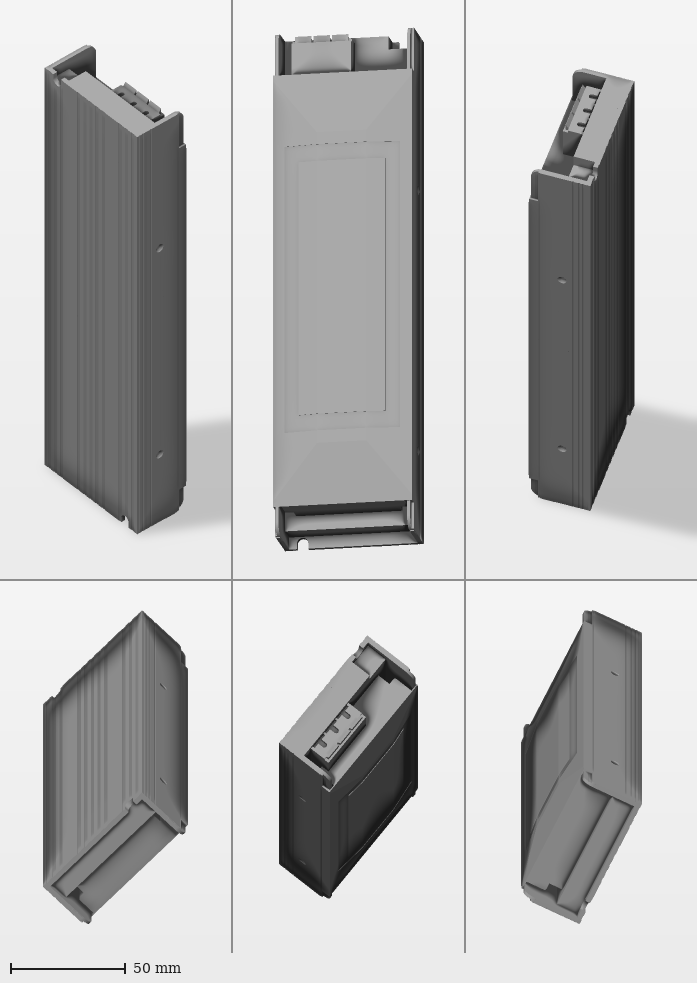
import cadquery as cq
WIDTH = 61.5
DEPTH = 30.5
LENGTH = 228.0
HALF_WIDTH = WIDTH / 2

WALL = 2.3
INNER_HALF_WIDTH = HALF_WIDTH - WALL
WALL_DEPTH = 27.5
WALL_CORNER_RADIUS = 5.0
HOUSING_BOTTOM = 0.5
TAB_START = 16.6
TAB_END = 22.3
TAB_INSET = 0.2

GROOVE_DEPTH = 0.15
GROOVE_WIDTH = 2.0
GROOVE_PITCH = 2 * GROOVE_WIDTH
CENTRE_GROOVES = 5
EDGE_GROOVES = 3
SIDE_GROOVE_WIDTH = 0.7
SIDE_GROOVES_Y = (3.2, 5.0, 7.8, 23.5)
FINE_GROOVE_WIDTH = 0.2
FINE_GROOVES_Y = (1.4, 25.3)

LIP_START = 24.0
LIP_THICKNESS = 1.0

NOTCH_X = 22.5
NOTCH_RADIUS = 2.5
NOTCH_LENGTH = 5.0

SCREW_Y = 13.0
SCREW_HEIGHTS = (39.0, 157.0)
SCREW_HOLE = 2.5
SCREW_HEAD = 4.0
SCREW_ANGLE = 90

COVER_BOTTOM = 12.5
COVER_TOP = 208.2
COVER_END_DEPTH = 28.0
COVER_SIDE_DEPTH = 28.3
RAMP_LENGTH = 27.4
FLAT_HALF_WIDTH = 11.0
FRAME_GROOVE = 0.2
FRAME_OUTER_X = 25.5
FRAME_INNER_X = 19.2
FRAME_OUTER_Z = (45.5, 175.3)
FRAME_INNER_Z = (53.1, 167.8)

DRIVER_BACK = 12.0
DRIVER_BOTTOM = 6.0
DRIVER_STEP_X = -17.3
DRIVER_STEP = 6.0

BOARD_HALF_WIDTH = 23.5
BOARD_BACK = 18.2
TRAY_HALF_WIDTH = 27.1
TRAY_RADIUS = 1.0

TERMINAL_LEFT = -2.5
TERMINAL_RIGHT = 23.7
TERMINAL_BACK = 22.0
LEDGE_Z = 224.1
PLATEAU_BACK = 19.5
PLATEAU_Z = 225.5
LUG_BACK = 21.0
LUG_TOP = 227.3
POLES = 3
POLE_PITCH = 8.2
POLE_WIDTH = 7.3
ENTRY_HEIGHT = 1.1
KEY_WIDTH = 2.3
KEY_HEIGHT = 4.8
KEY_CUT = 2.3


def block(x_range, y_range, z_range):
    """Box filling three ranges, each given as two ends in either order."""
    (x0, x1), (y0, y1), (z0, z1) = sorted(x_range), sorted(y_range), sorted(z_range)
    return cq.Workplane("XY", origin=(x0, y0, z0)).box(x1 - x0, y1 - y0, z1 - z0, centered=False)


def around(centre, width):
    """Range of the given width around a centre."""
    return centre - width / 2, centre + width / 2


FULL_LENGTH = (0, LENGTH)


def make_channel():
    """Plain U-shaped channel with rounded wall corners."""
    channel = block((-HALF_WIDTH, HALF_WIDTH), (0, WALL_DEPTH), (HOUSING_BOTTOM, LENGTH))
    channel = channel.edges("|X and >Y").fillet(WALL_CORNER_RADIUS)
    return channel.cut(block((-INNER_HALF_WIDTH, INNER_HALF_WIDTH), (WALL, WALL_DEPTH), FULL_LENGTH))


def front_groove_centres():
    """X places of the front grooves: one group in the middle, one beside each corner."""
    first = -(CENTRE_GROOVES - 1) / 2 * GROOVE_PITCH
    centres = [first + i * GROOVE_PITCH for i in range(CENTRE_GROOVES)]
    outermost = HALF_WIDTH - 1.5 * GROOVE_WIDTH
    for i in range(EDGE_GROOVES):
        x = outermost - i * GROOVE_PITCH
        centres += [-x, x]
    return centres


def cut_front_grooves(body):
    for x in front_groove_centres():
        body = body.cut(block(around(x, GROOVE_WIDTH), (0, GROOVE_DEPTH), FULL_LENGTH))
    return body


def cut_side_profile(body, side):
    """Cover-lip recess and grooves of one side wall; side is -1 or +1."""
    outer = side * HALF_WIDTH
    recess_floor = side * (HALF_WIDTH - LIP_THICKNESS)
    body = body.cut(block((outer, recess_floor), (LIP_START, WALL_DEPTH), FULL_LENGTH))
    for y in SIDE_GROOVES_Y:
        groove_x = (outer, outer - side * GROOVE_DEPTH)
        body = body.cut(block(groove_x, around(y, SIDE_GROOVE_WIDTH), FULL_LENGTH))
    for y in FINE_GROOVES_Y:
        surface = recess_floor if y > LIP_START else outer
        groove_x = (surface, surface - side * GROOVE_DEPTH)
        body = body.cut(block(groove_x, around(y, FINE_GROOVE_WIDTH), FULL_LENGTH))
    return body


def add_tab(body, side):
    tab_x = (side * (INNER_HALF_WIDTH + TAB_INSET), side * (HALF_WIDTH - TAB_INSET))
    return body.union(block(tab_x, (TAB_START, TAB_END), (0, HOUSING_BOTTOM)))


def cut_screw_holes(body, side):
    for z in SCREW_HEIGHTS:
        face = cq.Plane((side * HALF_WIDTH, SCREW_Y, z), xDir=(0, 1, 0), normal=(side, 0, 0))
        workplane = body.copyWorkplane(cq.Workplane(face))
        body = workplane.cskHole(SCREW_HOLE, SCREW_HEAD, SCREW_ANGLE, depth=WALL)
    return body


def cut_notch(body, x, end_z, inward):
    """Round-ended notch starting at end_z; inward is the Z direction into the panel."""
    centre_z = end_z + inward * (NOTCH_LENGTH - NOTCH_RADIUS)
    round_end = cq.Workplane("XZ").center(x, centre_z).circle(NOTCH_RADIUS).extrude(-WALL)
    mouth = block(around(x, 2 * NOTCH_RADIUS), (0, WALL), (end_z, centre_z))
    return body.cut(round_end).cut(mouth)


def make_housing():
    body = cut_front_grooves(make_channel())
    for side in (-1, 1):
        body = cut_side_profile(body, side)
        body = add_tab(body, side)
        body = cut_screw_holes(body, side)
    body = cut_notch(body, -NOTCH_X, LENGTH, -1)
    return cut_notch(body, NOTCH_X, HOUSING_BOTTOM, 1)


def make_cover():
    """Crowned cover whose lips sit in the side recesses; the crown slopes down on all sides."""
    lip_x = HALF_WIDTH - LIP_THICKNESS
    crown = (
        cq.Workplane("XY", origin=(0, 0, COVER_BOTTOM))
        .moveTo(-HALF_WIDTH, LIP_START)
        .lineTo(-HALF_WIDTH, COVER_SIDE_DEPTH)
        .lineTo(-FLAT_HALF_WIDTH, DEPTH)
        .lineTo(FLAT_HALF_WIDTH, DEPTH)
        .lineTo(HALF_WIDTH, COVER_SIDE_DEPTH)
        .lineTo(HALF_WIDTH, LIP_START)
        .lineTo(lip_x, LIP_START)
        .lineTo(lip_x, WALL_DEPTH)
        .lineTo(-lip_x, WALL_DEPTH)
        .lineTo(-lip_x, LIP_START)
        .close()
        .extrude(COVER_TOP - COVER_BOTTOM)
    )
    ramps = (
        cq.Workplane("YZ")
        .polyline([
            (0, COVER_BOTTOM),
            (COVER_END_DEPTH, COVER_BOTTOM),
            (DEPTH, COVER_BOTTOM + RAMP_LENGTH),
            (DEPTH, COVER_TOP - RAMP_LENGTH),
            (COVER_END_DEPTH, COVER_TOP),
            (0, COVER_TOP),
        ])
        .close()
        .extrude(HALF_WIDTH, both=True)
    )
    cover = crown.intersect(ramps)
    frame_y = (WALL_DEPTH, DEPTH)
    frame = block((-FRAME_OUTER_X, FRAME_OUTER_X), frame_y, FRAME_OUTER_Z)
    frame = frame.cut(block((-FRAME_INNER_X, FRAME_INNER_X), frame_y, FRAME_INNER_Z))
    groove = frame.cut(cover.translate((0, -FRAME_GROOVE, 0)))
    return cover.cut(groove)


def make_driver():
    """Driver box, lower beside the front notch."""
    inner_x = (-INNER_HALF_WIDTH, INNER_HALF_WIDTH)
    box = block(inner_x, (WALL, DRIVER_BACK), (DRIVER_BOTTOM, LENGTH))
    step_x = (-INNER_HALF_WIDTH, DRIVER_STEP_X)
    return box.cut(block(step_x, (WALL, DRIVER_BACK), (LENGTH - DRIVER_STEP, LENGTH)))


def make_board():
    board_x = (-BOARD_HALF_WIDTH, BOARD_HALF_WIDTH)
    return block(board_x, (DRIVER_BACK, BOARD_BACK), (COVER_BOTTOM, COVER_TOP))


def make_tray():
    tray_x = (-TRAY_HALF_WIDTH, TRAY_HALF_WIDTH)
    tray = block(tray_x, (BOARD_BACK, WALL_DEPTH), (COVER_BOTTOM, COVER_TOP))
    return tray.edges("|Z and <Y").fillet(TRAY_RADIUS)


def make_lug(x):
    """Raised lug of one pole, with a steep front."""
    return (
        cq.Workplane("YZ", origin=(x - POLE_WIDTH / 2, 0, 0))
        .polyline([
            (PLATEAU_BACK, LEDGE_Z),
            (PLATEAU_BACK, PLATEAU_Z),
            (LUG_BACK, LUG_TOP),
            (LUG_BACK, LEDGE_Z),
        ])
        .close()
        .extrude(POLE_WIDTH)
    )


def make_wire_entry(x):
    """Pocket of one pole: a wide slot with a round-topped keyway above it."""
    pocket_z = (PLATEAU_Z - KEY_CUT, PLATEAU_Z)
    radius = KEY_WIDTH / 2
    key_centre = DRIVER_BACK + KEY_HEIGHT - radius
    slot = block(around(x, POLE_WIDTH), (DRIVER_BACK, DRIVER_BACK + ENTRY_HEIGHT), pocket_z)
    key = block(around(x, KEY_WIDTH), (DRIVER_BACK, key_centre), pocket_z)
    key_top = cq.Workplane("XY", origin=(x, key_centre, pocket_z[0])).circle(radius).extrude(KEY_CUT)
    return slot.union(key).union(key_top)


def make_terminal():
    terminal_x = (TERMINAL_LEFT, TERMINAL_RIGHT)
    body = block(terminal_x, (DRIVER_BACK, TERMINAL_BACK), (COVER_TOP, LEDGE_Z))
    body = body.union(block(terminal_x, (DRIVER_BACK, PLATEAU_BACK), (LEDGE_Z, PLATEAU_Z)))
    middle = (TERMINAL_LEFT + TERMINAL_RIGHT) / 2
    for i in range(POLES):
        x = middle + (i - (POLES - 1) / 2) * POLE_PITCH
        body = body.union(make_lug(x)).cut(make_wire_entry(x))
    return body


housing = make_housing()
cover = make_cover()
driver = make_driver()
board = make_board()
tray = make_tray()
terminal = make_terminal()

result = cq.Compound.makeCompound([
    housing.val(),
    cover.val(),
    driver.val(),
    board.val(),
    tray.val(),
    terminal.val(),
])